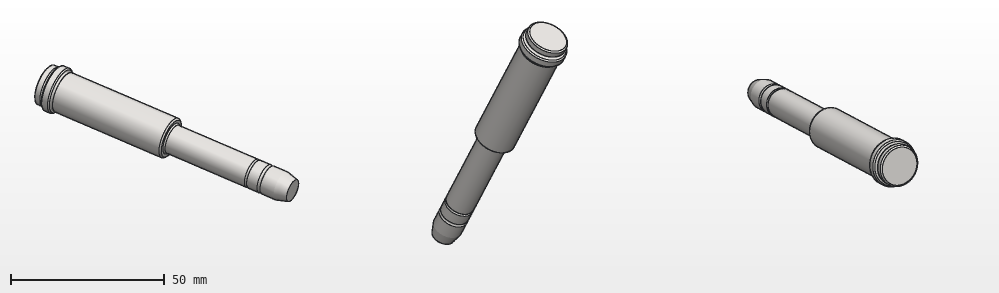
import cadquery as cq
import math

total_length = 94.0
body_radius = 14.0 / 2
shank_radius = 10.0 / 2
collar_radius = 16.0 / 2

head_chamfer_length = 0.4
head_chamfer_depth = 0.6

collar_start = 3.1
collar_end = 6.2
collar_chamfer = 0.5
relief_width = 0.8
relief_depth = 0.4

shoulder_position = 48.0
shoulder_chamfer = 0.6
root_chamfer_length = 0.6
root_chamfer_height = 0.5

shank_grooves = [(78.7, 0.8), (83.5, 1.1)]
shank_groove_depth = 0.3

tip_length = 4.1
tip_angle = math.radians(15)


def cylinder(start, end, radius):
    """Solid cylinder on the X axis between two X positions."""
    return cq.Workplane("YZ", origin=(start, 0, 0)).circle(radius).extrude(end - start)


def round_groove(start, width, radius, depth):
    """Ring with an arc-shaped section, cut into a cylinder of the given radius."""
    return (
        cq.Workplane("XY")
        .moveTo(start, radius)
        .threePointArc((start + width / 2, radius - depth), (start + width, radius))
        .close()
        .revolve(360, (0, 0, 0), (1, 0, 0))
    )


def make_stepped_pin():
    """Body, shoulder, shank and tapered tip revolved as one profile."""
    tip_start = total_length - tip_length
    tip_radius = shank_radius - tip_length * math.tan(tip_angle)
    chamfer_start = shoulder_position - shoulder_chamfer
    return (
        cq.Workplane("XY")
        .lineTo(0, body_radius - head_chamfer_depth)
        .lineTo(head_chamfer_length, body_radius)
        .lineTo(chamfer_start, body_radius)
        .lineTo(shoulder_position, body_radius - shoulder_chamfer)
        .lineTo(shoulder_position, shank_radius + root_chamfer_height)
        .lineTo(shoulder_position + root_chamfer_length, shank_radius)
        .lineTo(tip_start, shank_radius)
        .lineTo(total_length, tip_radius)
        .lineTo(total_length, 0)
        .close()
        .revolve(360, (0, 0, 0), (1, 0, 0))
    )


def make_collar():
    """Raised ring with both outer edges chamfered."""
    return cylinder(collar_start, collar_end, collar_radius).edges().chamfer(collar_chamfer)


result = make_stepped_pin().union(make_collar())

for relief_start in (collar_start - relief_width, collar_end):
    result = result.cut(round_groove(relief_start, relief_width, body_radius, relief_depth))

for groove_start, groove_width in shank_grooves:
    result = result.cut(round_groove(groove_start, groove_width, shank_radius, shank_groove_depth))